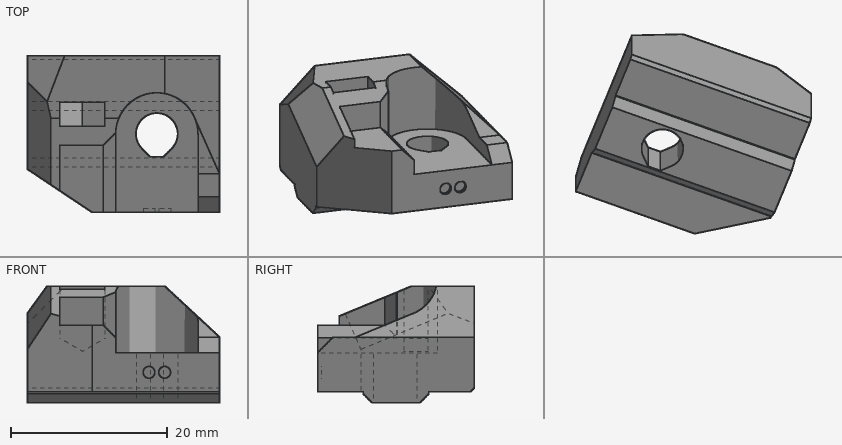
import cadquery as cq
import math


left_x = -16.5
right_x = 8.0
front_y = -10.0
back_y = 10.0
body_height = 13.5

slope_angle = 22.5
slope_start_y = 2.0
slope_rise = math.tan(math.radians(slope_angle))
slope_front_z = body_height - slope_rise * (slope_start_y - front_y)

bottom_back_chamfer = 0.5
corner_cut_x = 8.25
corner_cut_y = 5.5
side_bevel_x = 3.0
side_bevel_drop = 5.36
corner_bevel_x = 4.75
corner_bevel_drop = 4.75
corner_bevel_y = corner_bevel_x / math.sin(math.radians(slope_angle))
right_bevel_x = 7.0
right_bevel_drop = 6.5

ridge_depth = 1.4
ridge_half_width = 4.2
ridge_chamfer = 1.15

pocket_radius = 5.25
pocket_floor_z = 5.0
bore_diameter = 5.3
teardrop_flat_y = -2.9
teardrop_flank_angle = 45.0

shoulder_z = body_height - right_bevel_drop
shoulder_slope_foot_y = -5.1
shoulder_chamfer = 2.0

recess_left_x = -12.35
recess_width = 5.5
recess_right_x = recess_left_x + recess_width
recess_back_y = -1.45
recess_floor_z = slope_front_z
recess_flare = -pocket_radius - recess_right_x

nut_slot_left_x = recess_left_x
nut_flats = 5.7
nut_slot_front_y = 1.0
nut_slot_back_y = 4.05
nut_center_z = 8.5

marker_diameter = 1.5
marker_spacing = 2.0
marker_z = 2.5
marker_depth = 0.5

overrun = 5.0
tool_size = 100.0


def prism_along_x(points, start_x, end_x):
    """Extrude a (y, z) outline from start_x to end_x."""
    outline = cq.Workplane("YZ", origin=(start_x, 0, 0)).polyline(points).close()
    return outline.extrude(end_x - start_x)


def half_space(a, b, c):
    """Block on one side of the plane through a, b, c: the side from which they run counterclockwise."""
    a, b, c = cq.Vector(*a), cq.Vector(*b), cq.Vector(*c)
    normal = (b - a).cross(c - a)
    plane = cq.Plane(origin=a, xDir=b - a, normal=normal)
    return cq.Workplane(plane).rect(tool_size, tool_size).extrude(tool_size)


def body_blank():
    outline = [
        (front_y, 0),
        (back_y - bottom_back_chamfer, 0),
        (back_y, bottom_back_chamfer),
        (back_y, body_height),
        (slope_start_y, body_height),
        (front_y, slope_front_z),
    ]
    return prism_along_x(outline, left_x, right_x)


def ridge():
    foot_half_width = ridge_half_width - ridge_chamfer
    step_z = ridge_chamfer - ridge_depth
    outline = [
        (-ridge_half_width, 0),
        (-ridge_half_width, step_z),
        (-foot_half_width, -ridge_depth),
        (foot_half_width, -ridge_depth),
        (ridge_half_width, step_z),
        (ridge_half_width, 0),
    ]
    return prism_along_x(outline, left_x, right_x)


def front_left_corner_cut():
    side_y = front_y + corner_cut_y
    return half_space(
        (left_x, side_y, 0),
        (left_x + corner_cut_x, front_y, body_height),
        (left_x, side_y, body_height),
    )


def side_bevel():
    """Bevel of the left edge of the slope, parallel to the slope."""
    low_z = body_height - side_bevel_drop
    return half_space(
        (left_x, slope_start_y, low_z),
        (left_x, front_y, slope_front_z - side_bevel_drop),
        (left_x + side_bevel_x, slope_start_y, body_height),
    )


def back_left_corner_bevel():
    return half_space(
        (left_x, back_y, body_height - corner_bevel_drop),
        (left_x, back_y - corner_bevel_y, body_height),
        (left_x + corner_bevel_x, back_y, body_height),
    )


def right_bevel():
    top_x = right_x - right_bevel_x
    return half_space(
        (top_x, front_y, body_height),
        (right_x, front_y, shoulder_z),
        (top_x, back_y, body_height),
    )


def shoulder_cut():
    """Space above the low slope, the flat and the front chamfer right of the pocket."""
    slope_top_z = shoulder_z + slope_rise * (slope_start_y - shoulder_slope_foot_y)
    outline = [
        (front_y, shoulder_z - shoulder_chamfer),
        (front_y + shoulder_chamfer, shoulder_z),
        (shoulder_slope_foot_y, shoulder_z),
        (slope_start_y, slope_top_z),
        (slope_start_y, body_height + overrun),
        (front_y, body_height + overrun),
    ]
    return prism_along_x(outline, 0, right_x)


def pocket():
    height = body_height - pocket_floor_z
    round_end = cq.Workplane(origin=(0, 0, pocket_floor_z)).circle(pocket_radius).extrude(height)
    channel = cq.Workplane("XY").box(
        2 * pocket_radius, -front_y, height, centered=(True, False, False)
    )
    return round_end.union(channel.translate((0, front_y, pocket_floor_z)))


def teardrop_bore():
    """Round bore with tangent flanks converging toward the front, cut off by a flat."""
    radius = bore_diameter / 2
    flank = math.radians(teardrop_flank_angle)
    tangent_x = radius * math.cos(flank)
    tangent_y = -radius * math.sin(flank)
    apex_y = -radius / math.sin(flank)
    flat_half_width = (teardrop_flat_y - apex_y) / math.tan(flank)
    return (
        cq.Workplane(origin=(0, 0, -ridge_depth))
        .moveTo(-tangent_x, tangent_y)
        .threePointArc((0, radius), (tangent_x, tangent_y))
        .lineTo(flat_half_width, teardrop_flat_y)
        .lineTo(-flat_half_width, teardrop_flat_y)
        .close()
        .extrude(ridge_depth + pocket_floor_z)
    )


def recess():
    """Flat-bottomed recess whose floor and back wall flare at 45 degrees into the pocket."""
    height = body_height - recess_floor_z
    flare_back_y = recess_back_y + recess_flare
    straight_outline = [
        (recess_left_x, front_y),
        (-pocket_radius, front_y),
        (-pocket_radius, flare_back_y),
        (recess_right_x, recess_back_y),
        (recess_left_x, recess_back_y),
    ]
    straight = cq.Workplane(origin=(0, 0, recess_floor_z)).polyline(straight_outline).close()
    straight = straight.extrude(height)

    flare_outline = [
        (recess_right_x, recess_floor_z),
        (-pocket_radius, recess_floor_z),
        (-pocket_radius, recess_floor_z - recess_flare),
    ]
    floor_flare = cq.Workplane("XZ", origin=(0, front_y, 0)).polyline(flare_outline).close()
    floor_flare = floor_flare.extrude(front_y - flare_back_y)

    miter_outline = [
        (recess_right_x, front_y),
        (-pocket_radius, front_y),
        (-pocket_radius, flare_back_y),
        (recess_right_x, recess_back_y),
    ]
    miter = cq.Workplane().polyline(miter_outline).close().extrude(body_height)
    return straight.union(floor_flare.intersect(miter))


def nut_slot():
    half_flats = nut_flats / 2
    hexagon_side = nut_flats / math.sqrt(3)
    center_x = nut_slot_left_x + half_flats
    wall_end_z = nut_center_z - hexagon_side / 2
    outline = [
        (center_x - half_flats, body_height),
        (center_x - half_flats, wall_end_z),
        (center_x, nut_center_z - hexagon_side),
        (center_x + half_flats, wall_end_z),
        (center_x + half_flats, body_height),
    ]
    slot = cq.Workplane("XZ", origin=(0, nut_slot_back_y, 0)).polyline(outline).close()
    return slot.extrude(nut_slot_back_y - nut_slot_front_y)


def marker_holes():
    centers = [(-marker_spacing / 2, marker_z), (marker_spacing / 2, marker_z)]
    face = cq.Workplane("XZ", origin=(0, front_y, 0)).pushPoints(centers)
    return face.circle(marker_diameter / 2).extrude(-marker_depth)


result = body_blank().union(ridge())
for cut in (
    front_left_corner_cut,
    side_bevel,
    back_left_corner_bevel,
    right_bevel,
    shoulder_cut,
    pocket,
    teardrop_bore,
    recess,
    nut_slot,
    marker_holes,
):
    result = result.cut(cut())